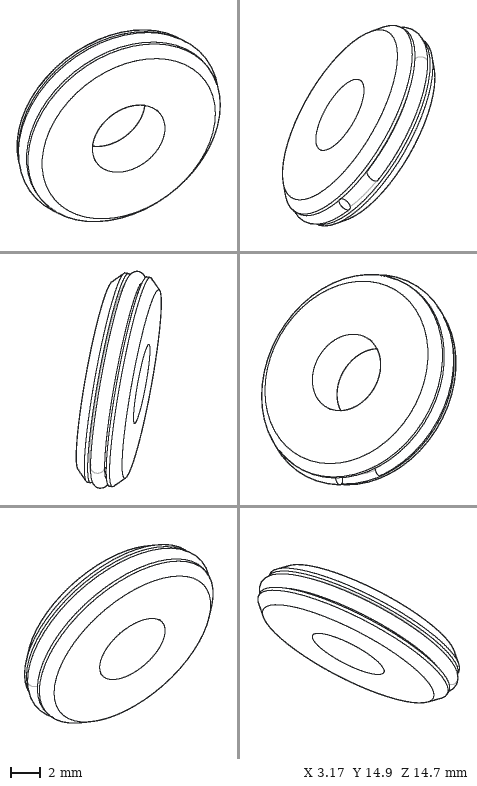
import cadquery as cq

disc_width = 3.17
disc_radius = 7.18
bore_radius = 2.7
rim_chamfer = 0.71

groove_radius = 0.64
groove_center_radius = 6.6

ring_outer_radius = 7.44
wire_radius = 0.48
ring_gap = 3.15
wire_center_radius = ring_outer_radius - wire_radius


def revolve_about_x(profile):
    """Turn an XY profile a full circle about the X axis."""
    return profile.revolve(360, (0, 0, 0), (1, 0, 0))


def make_disc():
    """Chamfered disc with a bore and a round-bottomed rim groove."""
    half_width = disc_width / 2
    land_edge = half_width - rim_chamfer
    face_radius = disc_radius - rim_chamfer
    groove_bottom = groove_center_radius - groove_radius
    profile = (
        cq.Workplane("XY")
        .moveTo(-half_width, bore_radius)
        .lineTo(-half_width, face_radius)
        .lineTo(-land_edge, disc_radius)
        .lineTo(-groove_radius, disc_radius)
        .lineTo(-groove_radius, groove_center_radius)
        .threePointArc((0, groove_bottom), (groove_radius, groove_center_radius))
        .lineTo(groove_radius, disc_radius)
        .lineTo(land_edge, disc_radius)
        .lineTo(half_width, face_radius)
        .lineTo(half_width, bore_radius)
        .close()
    )
    return revolve_about_x(profile)


def make_snap_ring():
    """Round-wire ring with a parallel-sided opening on its -Z side."""
    wire_section = cq.Workplane("XY").center(0, wire_center_radius).circle(wire_radius)
    ring = wire_section.revolve(
        360, (0, -wire_center_radius, 0), (1, -wire_center_radius, 0)
    )
    opening = cq.Workplane("XY").box(
        2 * groove_radius, ring_gap, ring_outer_radius, centered=(True, True, False)
    ).translate((0, 0, -ring_outer_radius))
    return ring.cut(opening)


disc = make_disc()
snap_ring = make_snap_ring()

result = cq.Compound.makeCompound([disc.val(), *snap_ring.vals()])